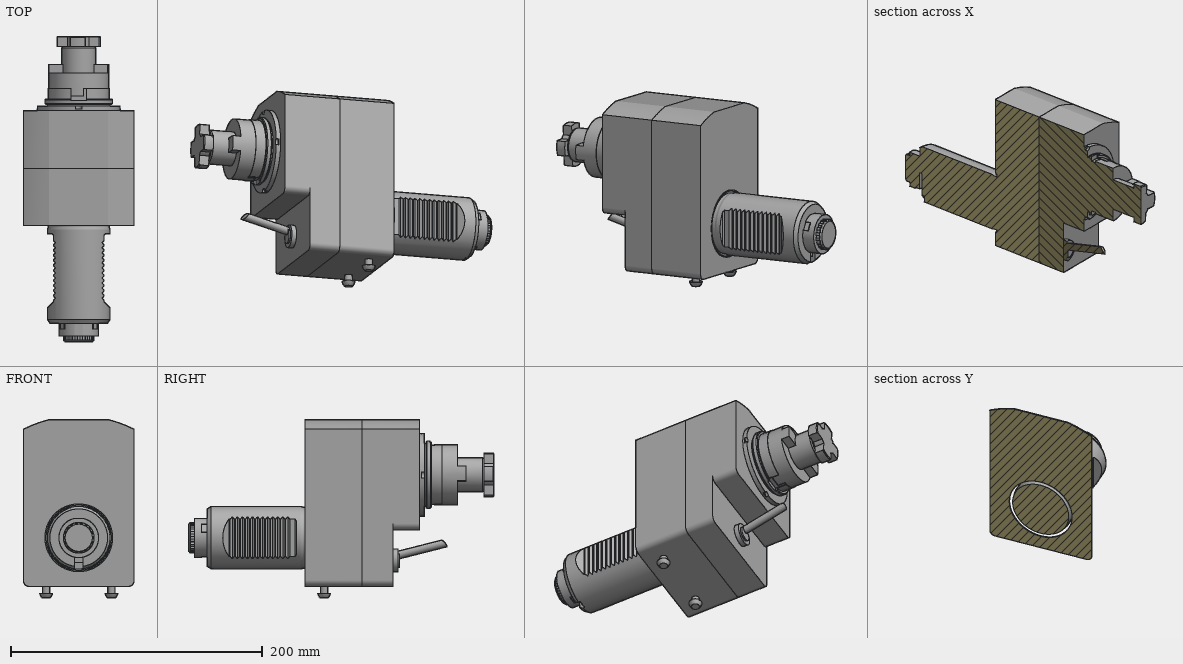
import cadquery as cq
import math


housing_width = 88.0
housing_length = 91.3
seam_y = 45.5
housing_top = 94.0
housing_bottom = -38.8
crown_radius = 96.9
bottom_fillet = 4.9
step_y = 70.2
step_z = 6.0
face_recess_diameter = 54.0
face_recess_depth = 1.5
face_recess_step_diameter = 52.0

shank_diameter = 50.0
shank_radius = shank_diameter / 2
shank_length = 77.7
neck_diameter = 48.8
neck_length = 1.5
neck_chamfer_length = 2.0
shank_end_chamfer = 2.06
shank_end_chamfer_length = 3.2
tooth_pitch = 4.0
tooth_count = 12
tooth_depth = 1.5
tooth_half_width = 1.7
flat_distance = 20.1
flat_start = 7.8
flat_start_bevel = 1.2
flat_end = 60.5
first_tooth_gap = 13.5
key_slot_width = 7.0
key_slot_depth = 4.5
key_slot_step_z = 19.7

drive_collar_diameter = 31.5
drive_collar_length = 10.2
collar_flat_distance = 15.41
collar_notch_floor = 14.8
spline_diameter = 24.5
spline_length = 4.5
spline_chamfer = 1.5
spline_groove_diameter = 2.1
spline_groove_count = 18

spindle_turn = 3.0
spindle_z = 50.0
flange_diameter = 66.0
flange_length = 3.6
scallop_diameter = 4.9
scallop_depth = 2.2
scallop_count = 4
groove_diameter = 50.0
ring_diameter = 54.0
ring_start = 96.4
ring_end = 100.7
ring_chamfer = 0.7
collar_diameter = 48.8
collar_end = 109.0
chuck_diameter = 48.0
chuck_end = 121.4
lug_width = 11.7
lug_length = 6.8
pocket_width = 12.5
pocket_floor = 22.8
pocket_start = 99.3
tongue_start = 103.0
tongue_width = 10.2
spindle_nose_diameter = 27.2
nose_end = 142.3
nose_chamfer_length = 1.2
nose_chamfer_depth = 0.5

cross_end = 150.3
cross_diameter = 35.0
cross_arm_width = 12.0
cross_core_diameter = 20.9
cross_chamfer = 0.7

nozzle_z = -18.0
nozzle_base_diameter = 18.2
nozzle_base_length = 4.0
nozzle_hub_diameter = 11.7
nozzle_hub_length = 1.2
pipe_diameter = 6.3
pipe_rise = 14.2
pipe_root_z = -14.8
pipe_tip_y = 110.5
tip_cut_angle = 38.0
tip_cut_turn = 20.0

screw_x = 26.0
screw_y = 15.3
screw_shank_diameter = 6.0
screw_shank_length = 5.3
screw_head_diameter = 10.5
screw_length = 9.0
screw_tip_diameter = 6.3
dome_bulge = 0.65


def disc(diameter, start, end, z=0.0):
    """Cylinder along Y from start to end, centred at x = 0 and height z."""
    low = min(start, end)
    plane = cq.Workplane("XZ", origin=(0, low, z))
    return plane.circle(diameter / 2).extrude(-abs(end - start))


def block(x, y, z):
    """Box spanning the given (min, max) pairs."""
    return (
        cq.Workplane("XY")
        .box(x[1] - x[0], y[1] - y[0], z[1] - z[0], centered=False)
        .translate((x[0], y[0], z[0]))
    )


def housing_block(start, end, bottom):
    """Prism with a crowned top and rounded lower edges."""
    half = housing_width / 2
    top_half = math.sqrt(crown_radius**2 - housing_top**2)
    shoulder_z = math.sqrt(crown_radius**2 - half**2)
    middle_angle = (math.atan2(housing_top, top_half) + math.atan2(shoulder_z, half)) / 2
    middle_x = crown_radius * math.cos(middle_angle)
    middle_z = crown_radius * math.sin(middle_angle)
    return (
        cq.Workplane("XZ", origin=(0, start, 0))
        .moveTo(-half, bottom)
        .lineTo(half, bottom)
        .lineTo(half, shoulder_z)
        .threePointArc((middle_x, middle_z), (top_half, housing_top))
        .lineTo(-top_half, housing_top)
        .threePointArc((-middle_x, middle_z), (-half, shoulder_z))
        .close()
        .extrude(start - end)
        .edges("|Y and <Z")
        .fillet(bottom_fillet)
    )


def toothed_flat_cutter():
    """Material removed from the +X side of the shank: a flat with V gaps."""
    outside = shank_radius + 2.5
    ramp = outside - flat_distance
    points = [
        (outside, -flat_start + flat_start_bevel),
        (flat_distance + flat_start_bevel, -flat_start + flat_start_bevel),
        (flat_distance, -flat_start),
    ]
    for index in range(tooth_count):
        y = -first_tooth_gap - index * tooth_pitch
        points.append((flat_distance, y + tooth_half_width))
        points.append((flat_distance - tooth_depth, y))
        points.append((flat_distance, y - tooth_half_width))
    points.append((flat_distance, -flat_end))
    points.append((outside, -flat_end - ramp))
    return (
        cq.Workplane("XY", origin=(0, 0, -shank_radius))
        .polyline(points)
        .close()
        .extrude(shank_diameter)
    )


def key_slot():
    """Stepped radial slot at the bottom of the shank end face."""
    half = key_slot_width / 2
    end = -shank_length
    outer = block((-half, half), (end, end + key_slot_depth), (-shank_radius, -key_slot_step_z))
    inner = block((-half, half), (end, end + key_slot_depth / 2), (-key_slot_step_z, 0))
    return outer.union(inner)


def shank():
    neck_end = neck_length + neck_chamfer_length
    profile = [
        (0, face_recess_depth),
        (neck_diameter / 2, face_recess_depth),
        (neck_diameter / 2, -neck_length),
        (shank_radius, -neck_end),
        (shank_radius, -shank_length + shank_end_chamfer_length),
        (shank_radius - shank_end_chamfer, -shank_length),
        (0, -shank_length),
    ]
    body = cq.Workplane("XY").polyline(profile).close().revolve(360, (0, 0, 0), (0, 1, 0))
    flat = toothed_flat_cutter()
    return body.cut(flat).cut(flat.mirror("YZ")).cut(key_slot())


def drive_end():
    """Collar with three notches and a splined tip."""
    collar_start = -shank_length
    collar_front = collar_start - drive_collar_length
    tip = collar_front - spline_length
    radius = drive_collar_diameter / 2
    collar = disc(drive_collar_diameter, collar_front, collar_start)
    collar = collar.cut(
        block((-radius, radius), (collar_front, collar_start), (collar_flat_distance, radius))
    )
    half = key_slot_width / 2
    notch = block(
        (collar_notch_floor, radius),
        (collar_start - key_slot_depth, collar_start),
        (-half, half),
    )
    for angle in (30, 150, 270):
        collar = collar.cut(notch.rotate((0, 0, 0), (0, -1, 0), angle))
    spline = disc(spline_diameter, tip, collar_front).faces("<Y").chamfer(spline_chamfer)
    groove = disc(spline_groove_diameter, tip + spline_chamfer, collar_front)
    groove = groove.translate((spline_diameter / 2, 0, 0))
    step = 360 / spline_groove_count
    for index in range(spline_groove_count):
        spline = spline.cut(groove.rotate((0, 0, 0), (0, 1, 0), index * step))
    return collar.union(spline)


def front_housing():
    body = housing_block(0, seam_y, housing_bottom)
    body = body.cut(disc(face_recess_diameter, 0, face_recess_depth / 2))
    body = body.cut(disc(face_recess_step_diameter, 0, face_recess_depth))
    return body.union(shank()).union(drive_end())


def turned(body):
    """Body turned about the spindle axis, +Z towards -X."""
    return body.rotate((0, 0, 0), (0, -1, 0), spindle_turn)


def spindle_flange():
    flange_end = housing_length + flange_length
    flange = disc(flange_diameter, housing_length, flange_end)
    scallop = disc(scallop_diameter, flange_end - scallop_depth, flange_end)
    scallop = scallop.translate((0, 0, flange_diameter / 2))
    for index in range(scallop_count):
        flange = flange.cut(scallop.rotate((0, 0, 0), (0, 1, 0), index * 360 / scallop_count))
    return flange.union(disc(groove_diameter, flange_end, ring_start))


def chuck():
    """Ring, pocketed collar with tongues, and chuck body with two side lugs."""
    radius = chuck_diameter / 2
    ring = disc(ring_diameter, ring_start, ring_end).edges().chamfer(ring_chamfer)
    body = ring.union(disc(collar_diameter, ring_end, collar_end))
    half_pocket = pocket_width / 2
    half_tongue = tongue_width / 2
    pocket = block(
        (-half_pocket, half_pocket), (pocket_start, collar_end), (pocket_floor, ring_diameter)
    )
    tongue = disc(chuck_diameter, tongue_start, collar_end).intersect(
        block((-half_tongue, half_tongue), (tongue_start, collar_end), (0, radius))
    )
    core = disc(chuck_diameter, collar_end, chuck_end)
    for angle in (0, 180):
        body = body.cut(pocket.rotate((0, 0, 0), (0, 1, 0), angle))
        core = core.union(tongue.rotate((0, 0, 0), (0, 1, 0), angle))
    lug_end = chuck_end + lug_length
    lugs = disc(chuck_diameter, chuck_end, lug_end).intersect(
        block((-radius, radius), (chuck_end, lug_end), (-lug_width / 2, lug_width / 2))
    )
    return body.union(turned(core.union(lugs)))


def driving_cross():
    half = cross_arm_width / 2
    reach = cross_diameter / 2
    span = (nose_end, cross_end)
    arms = block((-reach, reach), span, (-half, half)).union(
        block((-half, half), span, (-reach, reach))
    )
    outline = disc(cross_diameter, *span).faces(">Y").chamfer(cross_chamfer)
    cross = arms.union(disc(cross_core_diameter, *span)).intersect(outline)
    return turned(cross)


def spindle():
    nose_radius = spindle_nose_diameter / 2
    nose = (
        cq.Workplane("XY", origin=(0, chuck_end, 0))
        .lineTo(nose_radius, 0)
        .lineTo(nose_radius, nose_end - chuck_end - nose_chamfer_length)
        .lineTo(nose_radius - nose_chamfer_depth, nose_end - chuck_end)
        .lineTo(0, nose_end - chuck_end)
        .close()
        .revolve(360, (0, 0, 0), (0, 1, 0))
    )
    body = spindle_flange().union(chuck()).union(nose).union(driving_cross())
    return body.translate((0, 0, spindle_z))


def rear_housing():
    lower = housing_block(seam_y, step_y, housing_bottom)
    upper = housing_block(step_y, housing_length, step_z)
    return lower.union(upper).union(spindle())


def coolant_nozzle():
    """Stepped base on the step face with a rising, obliquely cut pipe."""
    base_end = step_y + nozzle_base_length
    base = disc(nozzle_base_diameter, step_y, base_end, nozzle_z)
    hub = disc(nozzle_hub_diameter, base_end, base_end + nozzle_hub_length, nozzle_z)
    rise = math.tan(math.radians(pipe_rise))
    root = cq.Vector(0, step_y, pipe_root_z)
    overrun = 2 * pipe_diameter
    length = (pipe_tip_y - step_y) / math.cos(math.radians(pipe_rise))
    direction = cq.Vector(0, 1, rise)
    start = root - direction.normalized() * overrun
    pipe = cq.Workplane(
        cq.Solid.makeCylinder(pipe_diameter / 2, length + 2 * overrun, start, direction)
    )
    behind_step = block(
        (-pipe_diameter, pipe_diameter), (step_y - 3 * overrun, step_y), (-housing_top, housing_top)
    )
    tip_z = pipe_root_z + (pipe_tip_y - step_y) * rise
    beyond_tip = (
        block((-3 * overrun, 3 * overrun), (0, 3 * overrun), (-3 * overrun, 3 * overrun))
        .rotate((0, 0, 0), (0, 0, 1), tip_cut_turn)
        .rotate((0, 0, 0), (1, 0, 0), tip_cut_angle)
        .translate((0, pipe_tip_y, tip_z))
    )
    return base.union(hub).union(pipe.cut(behind_step).cut(beyond_tip))


def screw(x):
    """Button-head screw hanging head down below the housing."""
    head_radius = screw_head_diameter / 2
    tip_radius = screw_tip_diameter / 2
    dome_x = tip_radius + dome_bulge * (head_radius - tip_radius)
    dome_z = -(screw_shank_length + screw_length) / 2
    return (
        cq.Workplane("XZ")
        .lineTo(screw_shank_diameter / 2, 0)
        .lineTo(screw_shank_diameter / 2, -screw_shank_length)
        .lineTo(head_radius, -screw_shank_length)
        .threePointArc((dome_x, dome_z), (tip_radius, -screw_length))
        .lineTo(0, -screw_length)
        .close()
        .revolve(360, (0, 0, 0), (0, 1, 0))
        .translate((x, screw_y, housing_bottom))
    )


screws = [screw(x).val() for x in (-screw_x, screw_x)]
result = cq.Compound.makeCompound(
    [front_housing().val(), rear_housing().val(), coolant_nozzle().val(), *screws]
)